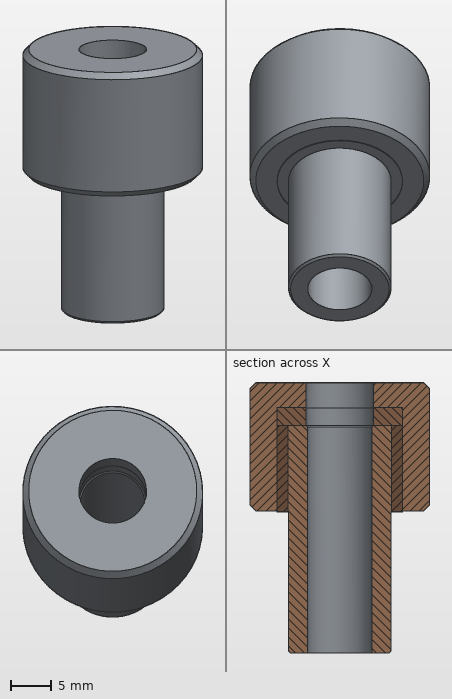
import cadquery as cq

total_height = 33.45
housing_bottom = 17.55
retainer_drop = 0.1
mouth_depth = 3.15
seat_thickness = 2.17

housing_diameter = 22.25
cavity_diameter = 15.5
stud_diameter = 12.7
mouth_diameter = 8.33
seat_bore_diameter = 8.3
stud_bore_diameter = 7.93

housing_chamfer = 0.75
stud_chamfer = 0.27
stud_bore_chamfer = (seat_bore_diameter - stud_bore_diameter) / 2

cavity_top = total_height - mouth_depth
stud_top = cavity_top - seat_thickness
retainer_bottom = housing_bottom - retainer_drop


def tube(outer_diameter, bore_diameter, bottom, top):
    """Upright hollow cylinder centred on the Z axis."""
    return (
        cq.Workplane("XY", origin=(0, 0, bottom))
        .circle(outer_diameter / 2)
        .circle(bore_diameter / 2)
        .extrude(top - bottom)
    )


def make_housing():
    """Chamfered round head with a small mouth above a wider open cavity."""
    blank = (
        cq.Workplane("XY", origin=(0, 0, housing_bottom))
        .circle(housing_diameter / 2)
        .extrude(total_height - housing_bottom)
        .edges()
        .chamfer(housing_chamfer)
    )
    mouth = (
        cq.Workplane("XY", origin=(0, 0, cavity_top))
        .circle(mouth_diameter / 2)
        .extrude(mouth_depth)
    )
    cavity = (
        cq.Workplane("XY", origin=(0, 0, housing_bottom))
        .circle(cavity_diameter / 2)
        .extrude(cavity_top - housing_bottom)
    )
    return blank.cut(mouth).cut(cavity)


def make_seat():
    """Ring between the roof of the cavity and the stud."""
    return tube(cavity_diameter, seat_bore_diameter, stud_top, cavity_top)


def make_retainer():
    """Sleeve around the stud, standing slightly proud of the housing's lower face."""
    return tube(cavity_diameter, stud_diameter, retainer_bottom, stud_top)


def make_stud():
    """Hollow stud with a chamfered lower outer edge and a bevelled bore entry."""
    return (
        tube(stud_diameter, stud_bore_diameter, 0, stud_top)
        .faces("<Z")
        .edges(cq.selectors.RadiusNthSelector(-1))
        .chamfer(stud_chamfer)
        .faces(">Z")
        .edges(cq.selectors.RadiusNthSelector(0))
        .chamfer(stud_bore_chamfer)
    )


housing = make_housing()
seat = make_seat()
retainer = make_retainer()
stud = make_stud()

result = cq.Compound.makeCompound([housing.val(), seat.val(), retainer.val(), stud.val()])